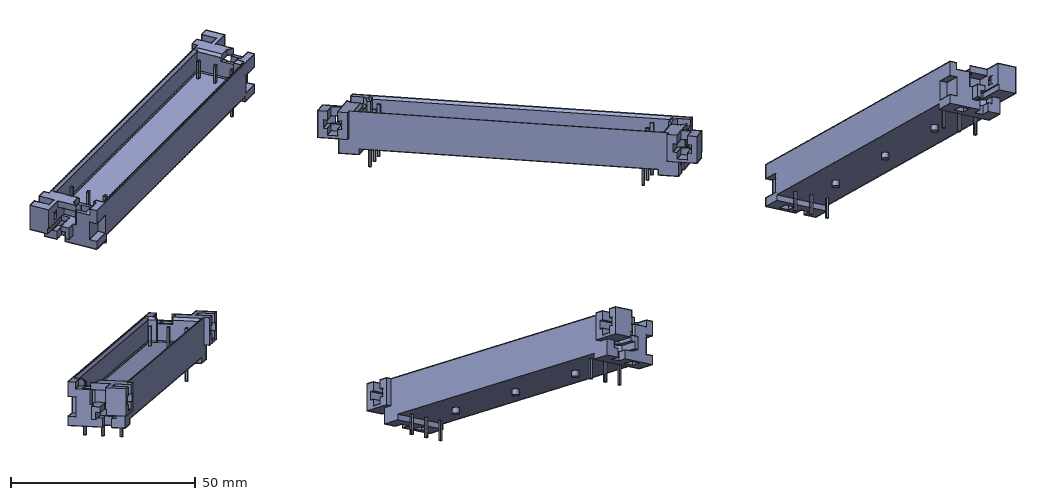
import cadquery as cq
import math


length = 105.9
width = 17.6
pin_tip_depth = 16.2

housing_left = 1.6
housing_half = 47.4
housing_depth = 10.6
foot_depth = 12.2
foot_length = 5.7

cavity_left = 2.5
cavity_right = 16.4
cavity_half = 42.6
cavity_depth = 6.9
mouth_chamfer = 0.7
floor_chamfer = 0.3

block_left = 14.1
block_reach = 1.0

slot_left = 9.8
slot_right = 15.5
slot_lip = 1.4
slot_depth = 1.9
slot_bevel_start = 3.6

hole_side = 2.9
hole_left = 10.9
hole_setback = 1.1

recess_depth = 6.0
recess_reach = 3.6
recess_flare = 0.4

lug_width = 5.7
lug_length = 8.4
lug_depth = 7.6

peg_right = 10.4
peg_half = 50.0
end_trap_bottom = 9.6

nut_flats = 5.1
lug_nut_x = 3.1
lug_nut_setback = 4.1
lug_trap_top = 2.5
lug_trap_bottom = 4.9
lug_screw_width = 2.9
lug_screw_depth = 6.8
end_nut_x = 6.7
end_nut_setback = 1.5
end_screw_width = 2.5

notch_left = 15.4
notch_top = 4.1
notch_bottom = 9.6
notch_length = 5.1

pin_pitch = 5.1
pin_middle_x = 9.6
pin_row_shift = 1.3
pin_row_offset = 38.1
pin_thickness = 0.6
blade_length = 1.0
blade_top_depth = 1.5
standoff_diameter = 2.0
standoff_pitch = 25.4


def block(x_range, y_range, depth_range):
    """Box between two X values, two Y values and two depths below the rim."""
    (x0, x1), (y0, y1), (top, bottom) = x_range, y_range, depth_range
    return cq.Workplane("XY").box(x1 - x0, y1 - y0, bottom - top, centered=False).translate((x0, y0, -bottom))


def prism(points, top, bottom):
    """Upright prism on a plan outline, between two depths below the rim."""
    return cq.Workplane("XY").workplane(offset=-bottom).polyline(points).close().extrude(bottom - top)


def on_both_ends(shape):
    return shape.union(shape.mirror("XZ"))


def make_housing():
    housing = block((housing_left, width), (-housing_half, housing_half), (0, housing_depth))
    foot = block(
        (housing_left, width), (housing_half - foot_length, housing_half), (housing_depth, foot_depth)
    )
    return housing.union(on_both_ends(foot))


def cavity_outline():
    """Plan of the cavity, with a block filling each corner on the far side."""
    block_face = cavity_half - block_reach
    upper_half = [
        (cavity_right, block_face),
        (block_left, block_face),
        (block_left, cavity_half),
        (cavity_left, cavity_half),
    ]
    return upper_half + [(x, -y) for x, y in reversed(upper_half)]


def cavity_layer(start_depth, height, taper=0):
    """Slab on the cavity outline, going up from its start depth, or down for a negative height."""
    layer = cq.Workplane("XY").workplane(offset=-start_depth).polyline(cavity_outline()).close()
    return layer.extrude(height, taper=taper)


def make_cavity():
    wall_bottom = cavity_depth - floor_chamfer
    walls = cavity_layer(wall_bottom, wall_bottom)
    mouth = cavity_layer(mouth_chamfer, mouth_chamfer, taper=-45)
    floor_edge = cavity_layer(wall_bottom, -floor_chamfer, taper=45)
    return walls.union(mouth).union(floor_edge)


def make_lug():
    outer = block((0, housing_left), (length / 2 - lug_length, length / 2), (0, lug_depth))
    return outer.union(block((0, lug_width), (housing_half, length / 2), (0, lug_depth)))


def make_peg():
    return block((lug_width, peg_right), (housing_half, peg_half), (recess_depth, end_trap_bottom))


def keying_slot():
    outline = [
        (slot_left + slot_lip, housing_half),
        (slot_left, housing_half - slot_lip),
        (slot_left, cavity_half - block_reach),
        (block_left, cavity_half - block_reach),
        (block_left, housing_half - slot_bevel_start - (slot_right - block_left)),
        (slot_right, housing_half - slot_bevel_start),
        (slot_right, housing_half),
    ]
    return prism(outline, 0, slot_depth)


def key_hole():
    outer_y = housing_half - hole_setback
    return block((hole_left, hole_left + hole_side), (outer_y - hole_side, outer_y), (0, foot_depth))


def end_recess():
    outline = [
        (lug_width, housing_half),
        (lug_width, housing_half - recess_reach),
        (hole_left, housing_half - recess_reach),
        (hole_left, housing_half - recess_flare),
        (hole_left + recess_flare, housing_half),
    ]
    return prism(outline, slot_depth, recess_depth)


def edge_notch():
    return block((notch_left, width), (housing_half - notch_length, housing_half), (notch_top, notch_bottom))


def nut_outline(run_in):
    """Plan of a nut pushed in along +X to the origin: a channel ending in the point of a hexagon."""
    half = nut_flats / 2
    shoulder = half * math.tan(math.radians(30))
    tip = half / math.cos(math.radians(30))
    return [(-run_in, -half), (shoulder, -half), (tip, 0), (shoulder, half), (-run_in, half)]


def lug_nut_trap():
    middle_y = length / 2 - lug_nut_setback
    half_slot = lug_screw_width / 2
    nut = prism(nut_outline(lug_nut_x), lug_trap_top, lug_trap_bottom).translate((lug_nut_x, middle_y, 0))
    screw = block((0, lug_nut_x + half_slot), (middle_y - half_slot, middle_y + half_slot), (0, lug_screw_depth))
    return nut.union(screw)


def end_nut_trap():
    nut_y = housing_half - end_nut_setback
    half_slot = end_screw_width / 2
    nut = prism(nut_outline(length / 2 - nut_y), lug_depth, end_trap_bottom)
    nut = nut.rotate((0, 0, 0), (0, 0, 1), -90).translate((end_nut_x, nut_y, 0))
    screw = block(
        (end_nut_x - half_slot, end_nut_x + half_slot), (nut_y - half_slot, length / 2), (recess_depth, foot_depth)
    )
    return nut.union(screw)


def make_pin(x, y):
    half = pin_thickness / 2
    blade = block(
        (x - half, x + half), (y - blade_length / 2, y + blade_length / 2), (blade_top_depth, housing_depth)
    )
    tail = block((x - half, x + half), (y - half, y + half), (housing_depth, pin_tip_depth))
    return blade.union(tail)


def make_standoff(y):
    return (
        cq.Workplane("XY", origin=(pin_middle_x, y, -foot_depth))
        .circle(standoff_diameter / 2)
        .extrude(foot_depth - housing_depth)
    )


result = make_housing().cut(make_cavity())
result = result.union(on_both_ends(make_lug())).union(on_both_ends(make_peg()))
for cutter in (keying_slot(), key_hole(), end_recess(), edge_notch(), lug_nut_trap(), end_nut_trap()):
    result = result.cut(on_both_ends(cutter))

for column in (-1, 0, 1):
    result = result.union(make_standoff(pin_row_shift + column * standoff_pitch))
    for row in (-1, 1):
        pin = make_pin(pin_middle_x + column * pin_pitch, pin_row_shift + row * pin_row_offset)
        result = result.union(pin)